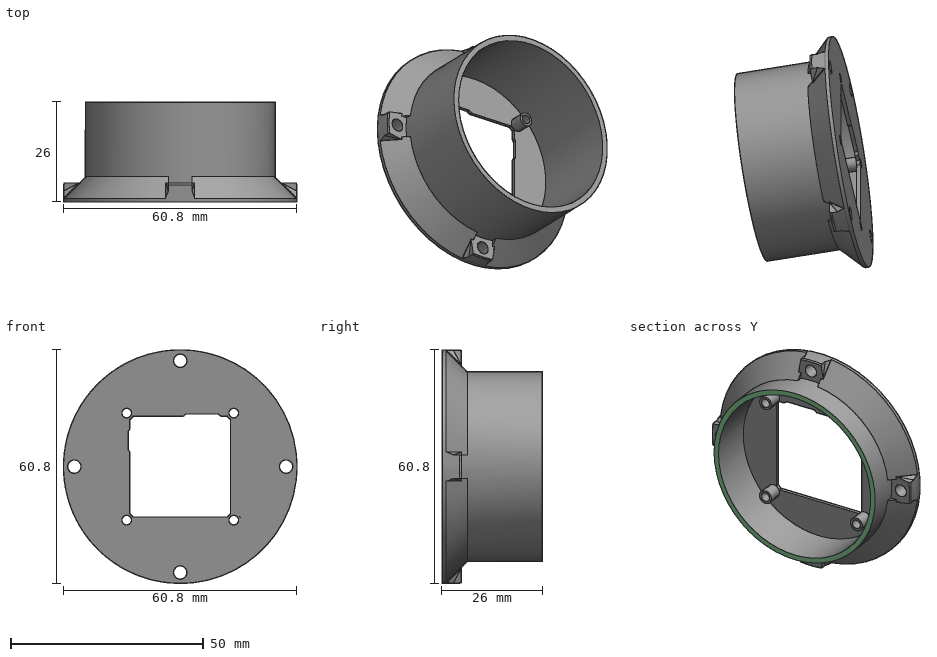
import cadquery as cq

flange_radius = 30.4
rim_thickness = 1.0
tube_radius = 24.75
tube_wall = 1.5
bore_radius = tube_radius - tube_wall
total_depth = 26.0
cone_top = rim_thickness + flange_radius - tube_radius

screw_circle_radius = 27.55
screw_hole_diameter = 3.4
block_height = 5.0
block_inner_radius = flange_radius - (block_height - rim_thickness)
block_outer_width = 6.1
block_flare_height = 2.85
block_inner_width = 7.55
block_bevel_height = 0.55
block_bevel_depth = 0.2
screw_angles = (0, 90, 180, 270)

opening_half = 13.1
corner_cut = 0.85
top_notch_start = 0.7
top_notch_end = 10.65
top_notch_depth = 0.6
top_notch_slope = 0.8
side_notch_start = 3.8
side_notch_end = 9.8
side_notch_depth = 0.4
side_notch_slope = 0.6
post_offset = 13.9
post_diameter = 3.65
post_height = 5.0
post_hole_diameter = 2.45


def sketch_plane(y=0.0):
    """XZ plane at depth y, with extrusions running toward +Y (local y is -Z)."""
    return cq.Workplane(cq.Plane(origin=(0, y, 0), xDir=(1, 0, 0), normal=(0, 1, 0)))


def revolve_profile(points):
    """Revolve (radius, depth) points around the Y axis."""
    return cq.Workplane("XY").polyline(points).close().revolve(360, (0, 0, 0), (0, 1, 0))


def flange():
    return revolve_profile([
        (0, 0),
        (flange_radius, 0),
        (flange_radius, rim_thickness),
        (tube_radius, cone_top),
        (bore_radius, cone_top),
        (bore_radius, rim_thickness),
        (0, rim_thickness),
    ])


def tube():
    ring = sketch_plane(rim_thickness).circle(tube_radius).circle(bore_radius)
    return ring.extrude(total_depth - rim_thickness)


def clearance_slot():
    """Clears the sloped flange above one block; the tube wall is added back afterwards."""
    length = flange_radius - bore_radius
    return (
        sketch_plane(block_height)
        .center(bore_radius + length / 2, 0)
        .rect(length, block_outer_width)
        .extrude(cone_top - block_height)
    )


def corner_relief():
    """Pyramid shaving one outer corner of a block, with its apex where the block top meets the slope."""
    wide = block_inner_width / 2
    narrow = block_outer_width / 2
    foot = cq.Vector(flange_radius, rim_thickness, wide)
    flare_end = cq.Vector(flange_radius, block_flare_height, narrow)
    top_narrow = cq.Vector(flange_radius, block_height, narrow)
    top_wide = cq.Vector(flange_radius, block_height, wide)
    apex = cq.Vector(block_inner_radius, block_height, wide)
    base = [foot, flare_end, top_narrow, top_wide]
    outlines = [base]
    for start, end in zip(base, base[1:] + base[:1]):
        outlines.append([start, end, apex])
    faces = [cq.Face.makeFromWires(cq.Wire.makePolygon(points, close=True)) for points in outlines]
    return cq.Workplane(cq.Solid.makeSolid(cq.Shell.makeShell(faces)))


def screw_block():
    """Block on the +X side, narrowing outward and trimmed to the flange circle."""
    length = flange_radius - tube_radius
    block = (
        sketch_plane()
        .center(tube_radius + length / 2, 0)
        .rect(length, block_inner_width)
        .extrude(block_height)
    )
    relief = corner_relief()
    block = block.cut(relief).cut(relief.mirror("XY"))
    envelope = revolve_profile([
        (0, 0),
        (flange_radius, 0),
        (flange_radius, block_height - block_bevel_height),
        (flange_radius - block_bevel_depth, block_height),
        (0, block_height),
    ])
    return block.intersect(envelope)


def opening():
    """Square window with cut corners and a shallow notch on two sides."""
    window = sketch_plane().rect(2 * opening_half, 2 * opening_half).extrude(rim_thickness)
    window = window.edges("|Y").chamfer(corner_cut)
    top_notch = (
        sketch_plane()
        .polyline([
            (top_notch_start, -opening_half),
            (top_notch_start + top_notch_slope, -opening_half - top_notch_depth),
            (top_notch_end - top_notch_slope, -opening_half - top_notch_depth),
            (top_notch_end, -opening_half),
        ])
        .close()
        .extrude(rim_thickness)
    )
    side_notch = (
        sketch_plane()
        .polyline([
            (-opening_half, -side_notch_start),
            (-opening_half - side_notch_depth, -side_notch_start - side_notch_slope),
            (-opening_half - side_notch_depth, -side_notch_end + side_notch_slope),
            (-opening_half, -side_notch_end),
        ])
        .close()
        .extrude(rim_thickness)
    )
    return window.union(top_notch).union(side_notch)


def at_posts(diameter, height):
    """Round bars at the four post positions."""
    return (
        sketch_plane()
        .rect(2 * post_offset, 2 * post_offset, forConstruction=True)
        .vertices()
        .circle(diameter / 2)
        .extrude(height)
    )


result = flange()
for angle in screw_angles:
    result = result.cut(clearance_slot().rotate((0, 0, 0), (0, 1, 0), angle))
    result = result.union(screw_block().rotate((0, 0, 0), (0, 1, 0), angle))

result = result.union(tube())
result = result.union(at_posts(post_diameter, post_height))
result = result.cut(opening())
result = result.cut(at_posts(post_hole_diameter, post_height))

screw_holes = (
    sketch_plane()
    .polarArray(screw_circle_radius, 0, 360, len(screw_angles))
    .circle(screw_hole_diameter / 2)
    .extrude(block_height)
)
result = result.cut(screw_holes)